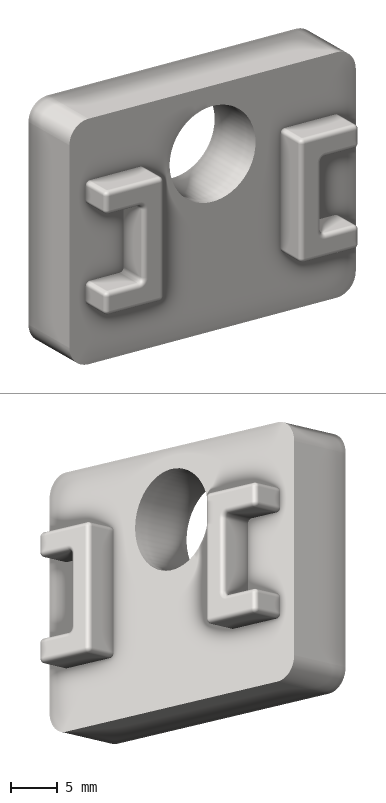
import cadquery as cq

plate_thickness = 7.8
plate_width = 37.3
plate_height = 28.7
plate_corner_radius = 2.5

hole_diameter = 11.2
hole_center_below_top = 8.0

total_depth = 11.6
lug_depth = total_depth - plate_thickness
lug_width = 7.65
lug_height = 14.47
lug_wall = 2.72
lug_side_inset = 2.13
lug_center_z = -0.1
lug_edge_radius = 0.52

lug_outer_y = plate_width / 2 - lug_side_inset
lug_center_y = lug_outer_y - lug_width / 2


def make_plate():
    """Rounded rectangular plate with one round through hole."""
    plate = (
        cq.Workplane("YZ")
        .rect(plate_width, plate_height)
        .extrude(plate_thickness)
        .edges("|X")
        .fillet(plate_corner_radius)
    )
    hole = (
        cq.Workplane("YZ")
        .center(0, plate_height / 2 - hole_center_below_top)
        .circle(hole_diameter / 2)
        .extrude(plate_thickness)
    )
    return plate.cut(hole)


def make_lug():
    """C-shaped lug opening towards +Y, with rounded corners and a rounded free end."""
    back = cq.Workplane("YZ", origin=(plate_thickness, 0, lug_center_z))
    block = back.center(lug_center_y, 0).rect(lug_width, lug_height).extrude(lug_depth)
    opening = (
        back.center(lug_center_y + lug_wall, 0)
        .rect(lug_width, lug_height - 2 * lug_wall)
        .extrude(lug_depth)
    )
    lug_body = block.cut(opening).edges("|X").fillet(lug_edge_radius)
    return lug_body.faces(">X").edges().fillet(lug_edge_radius)


lug = make_lug()
result = cq.Workplane(make_plate().union(lug).union(lug.mirror("XZ")).solids().val())